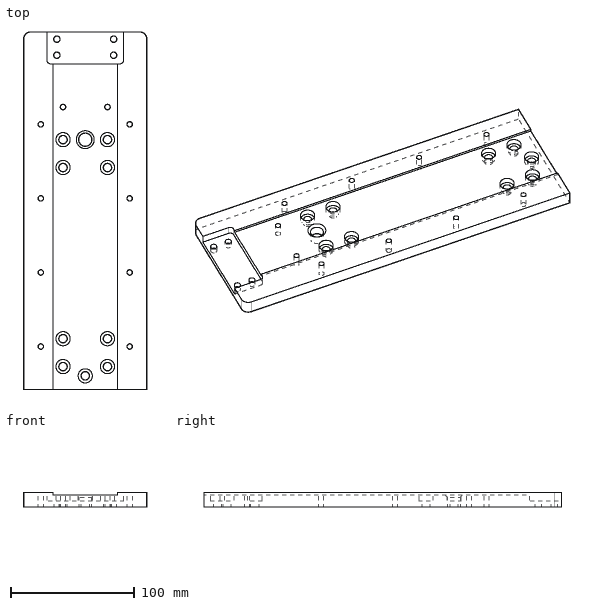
import cadquery as cq

PLATE_WIDTH = 100.0
PLATE_LENGTH = 290.0
PLATE_THICKNESS = 12.0
REAR_CORNER_RADIUS = 6.0
REAR_Y = PLATE_LENGTH / 2
FRONT_Y = -PLATE_LENGTH / 2

CHANNEL_WIDTH = 52.0
CHANNEL_DEPTH = 2.0
CHANNEL_FLOOR_Z = PLATE_THICKNESS - CHANNEL_DEPTH

POCKET_WIDTH = 62.0
POCKET_LENGTH = 26.0
POCKET_DEPTH = 7.0
POCKET_CORNER_RADIUS = 3.0
POCKET_FLOOR_Z = PLATE_THICKNESS - POCKET_DEPTH

POCKET_HOLE_DIAMETER = 5.0
POCKET_HOLE_X = 23.0
POCKET_HOLE_PITCH_Y = 13.0
POCKET_HOLE_REAR_Y = REAR_Y - 6.0

RAIL_HOLE_DIAMETER = 4.2
RAIL_HOLE_X = 36.0
RAIL_HOLE_COUNT = 4
RAIL_HOLE_PITCH = 60.0
RAIL_HOLE_FIRST_Y = FRONT_Y + 35.0

SCREW_HOLE_DIAMETER = 6.6
COUNTERBORE_DIAMETER = 11.5
COUNTERBORE_DEPTH = 5.0
SCREW_HOLE_X = 18.0
SCREW_PITCH_Y = 22.6
FRONT_GROUP_Y = FRONT_Y + 18.75
REAR_GROUP_Y = REAR_Y - 110.0
CENTRE_SCREW_Y = FRONT_Y + 11.25

CHANNEL_HOLE_DIAMETER = 4.2
CHANNEL_HOLE_Y = REAR_Y - 61.0

LARGE_HOLE_DIAMETER = 10.5
COUNTERSINK_DIAMETER = 14.5
COUNTERSINK_ANGLE = 90.0
LARGE_HOLE_Y = REAR_GROUP_Y + SCREW_PITCH_Y


def mirrored_points(x, y_values):
    """Points at +x and -x for every given y."""
    return [(side * x, y) for y in y_values for side in (-1, 1)]


def on_level(body, z):
    """Workplane parallel to XY at height z, with its origin on the plate centre."""
    return body.copyWorkplane(cq.Workplane("XY", origin=(0, 0, z)))


def make_plate():
    plate = cq.Workplane("XY").box(
        PLATE_WIDTH, PLATE_LENGTH, PLATE_THICKNESS, centered=(True, True, False)
    )
    return plate.edges("|Z and >Y").fillet(REAR_CORNER_RADIUS)


def cut_channel(body):
    channel = cq.Workplane("XY", origin=(0, 0, CHANNEL_FLOOR_Z)).box(
        CHANNEL_WIDTH, PLATE_LENGTH, CHANNEL_DEPTH, centered=(True, True, False)
    )
    return body.cut(channel)


def cut_pocket(body):
    pocket_centre_y = REAR_Y - POCKET_LENGTH / 2
    pocket = cq.Workplane("XY", origin=(0, pocket_centre_y, POCKET_FLOOR_Z)).box(
        POCKET_WIDTH, POCKET_LENGTH, POCKET_DEPTH, centered=(True, True, False)
    )
    return body.cut(pocket.edges("|Z and <Y").fillet(POCKET_CORNER_RADIUS))


def drill_pocket_holes(body):
    rows = [POCKET_HOLE_REAR_Y, POCKET_HOLE_REAR_Y - POCKET_HOLE_PITCH_Y]
    points = mirrored_points(POCKET_HOLE_X, rows)
    return on_level(body, POCKET_FLOOR_Z).pushPoints(points).hole(POCKET_HOLE_DIAMETER)


def drill_rail_holes(body):
    rows = [RAIL_HOLE_FIRST_Y + i * RAIL_HOLE_PITCH for i in range(RAIL_HOLE_COUNT)]
    points = mirrored_points(RAIL_HOLE_X, rows)
    return on_level(body, PLATE_THICKNESS).pushPoints(points).hole(RAIL_HOLE_DIAMETER)


def drill_channel_holes(body):
    points = mirrored_points(SCREW_HOLE_X, [CHANNEL_HOLE_Y])
    return on_level(body, CHANNEL_FLOOR_Z).pushPoints(points).hole(CHANNEL_HOLE_DIAMETER)


def drill_screw_holes(body):
    rows = []
    for group_y in (FRONT_GROUP_Y, REAR_GROUP_Y):
        rows += [group_y, group_y + SCREW_PITCH_Y]
    points = mirrored_points(SCREW_HOLE_X, rows) + [(0, CENTRE_SCREW_Y)]
    return (
        on_level(body, CHANNEL_FLOOR_Z)
        .pushPoints(points)
        .cboreHole(SCREW_HOLE_DIAMETER, COUNTERBORE_DIAMETER, COUNTERBORE_DEPTH)
    )


def drill_large_hole(body):
    return (
        on_level(body, CHANNEL_FLOOR_Z)
        .pushPoints([(0, LARGE_HOLE_Y)])
        .cskHole(LARGE_HOLE_DIAMETER, COUNTERSINK_DIAMETER, COUNTERSINK_ANGLE)
    )


result = make_plate()
result = cut_channel(result)
result = cut_pocket(result)
result = drill_pocket_holes(result)
result = drill_rail_holes(result)
result = drill_channel_holes(result)
result = drill_screw_holes(result)
result = drill_large_hole(result)